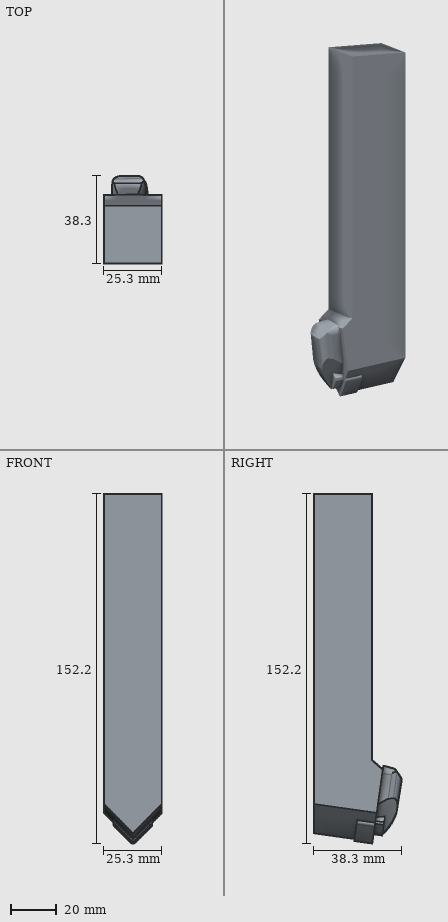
import cadquery as cq
import math

BAR_WIDTH = 25.29
TOTAL_HEIGHT = 152.23
HEAD_TILT = 8.0
HEAD_TIP_Y = 25.4
STEP_Z = 36.4
STEP_DROP = 4.1
NOSE_TIP = 0.9

INSERT_SIDE = 12.7
INSERT_THICKNESS = 7.94
INSERT_RADIUS = 1.2
ROUNDING_LOSS = INSERT_RADIUS * (math.sqrt(2) - 1)
INSERT_CENTRE = INSERT_SIDE / math.sqrt(2) - ROUNDING_LOSS

CLAMP_TURN = 5.0
CLAMP_HALF_WIDTH = 7.3
CLAMP_HEIGHT = 8.87
CLAMP_TOP_END = 25.6
END_CORNER_RADIUS = 3.7
END_FACE_TOP = (24.7, 5.1)
END_BEVEL_TOP = (22.3, 7.5)
CREST_END = (20.7, CLAMP_HEIGHT)
CREST_START = (6.8, 8.6)
NOSE_MIDDLE = (1.9, 7.2)
NOSE_START = (-3.5, 4.0)
WALL_HEIGHT = 4.0
SHOULDER = (6.9, 6.15)
CREST_HALF_WIDTH = 4.0

FLANK_START = 8.2
FLANK_ANGLE = 22.0
FLANK_LEAN = 0.75

FINGER_HALF_DIAGONAL = 7.1
FINGER_HALF_WIDTH = 6.5
FINGER_RISE = 0.9
FINGER_HEIGHT = 3.8
FINGER_TIP_RADIUS = 4.3

REACH = 60.0

tilt = math.radians(HEAD_TILT)
head = cq.Plane(
    origin=(0, HEAD_TIP_Y, 0),
    xDir=(1, 0, 0),
    normal=(0, -math.cos(tilt), math.sin(tilt)),
)
insert_frame = cq.Plane(head.toWorldCoords((0, INSERT_CENTRE, 0)), head.xDir, head.zDir)
clamp_frame = insert_frame.rotated((0, 0, CLAMP_TURN))


def corner_square(half_diagonal, rise=0):
    """Outline of a square standing on its corner, its centre this far above the insert centre."""
    corners = [(0, -half_diagonal), (half_diagonal, 0), (0, half_diagonal), (-half_diagonal, 0)]
    return cq.Workplane(insert_frame).center(0, rise).polyline(corners).close()


def make_insert():
    blank = corner_square(INSERT_SIDE / math.sqrt(2)).extrude(INSERT_THICKNESS)
    depth_edges = cq.selectors.ParallelDirSelector(head.zDir)
    return blank.edges(depth_edges).fillet(INSERT_RADIUS)


def make_bar():
    """Square bar with a leaning head face, cut to a right-angled nose."""
    step_bottom = STEP_Z - STEP_DROP
    below = -STEP_DROP

    def head_face_y(z):
        return HEAD_TIP_Y + z * math.tan(tilt)

    profile = [
        (0, below),
        (0, TOTAL_HEIGHT),
        (BAR_WIDTH, TOTAL_HEIGHT),
        (BAR_WIDTH, STEP_Z),
        (head_face_y(step_bottom), step_bottom),
        (head_face_y(below), below),
    ]
    bar = cq.Workplane("YZ").polyline(profile).close().extrude(BAR_WIDTH / 2, both=True)
    under_nose = [(0, NOSE_TIP), (REACH, NOSE_TIP + REACH), (REACH, -REACH),
                  (-REACH, -REACH), (-REACH, NOSE_TIP + REACH)]
    return bar.cut(cq.Workplane(head).polyline(under_nose).close().extrude(REACH, both=True))


def clamp_lengthwise():
    """Side profile of the clamp, spread across its width, with rounded upper corners."""
    def at(point):
        along, height = point
        return (along, -height)

    side = cq.Plane(clamp_frame.origin, clamp_frame.yDir, clamp_frame.xDir)
    block = (
        cq.Workplane(side)
        .moveTo(*at((NOSE_START[0], 0)))
        .lineTo(*at((CLAMP_TOP_END, 0)))
        .lineTo(*at(END_FACE_TOP))
        .lineTo(*at(END_BEVEL_TOP))
        .lineTo(*at(CREST_END))
        .lineTo(*at(CREST_START))
        .threePointArc(at(NOSE_MIDDLE), at(NOSE_START))
        .close()
        .extrude(CLAMP_HALF_WIDTH, both=True)
    )
    plan_length = CLAMP_TOP_END - NOSE_START[0]
    plan = (
        cq.Workplane(clamp_frame)
        .center(0, NOSE_START[0] + plan_length / 2)
        .rect(2 * CLAMP_HALF_WIDTH, plan_length)
        .extrude(-CLAMP_HEIGHT)
        .edges(cq.selectors.ParallelDirSelector(clamp_frame.zDir))
        .edges(cq.selectors.CenterNthSelector(clamp_frame.yDir, -1))
        .fillet(END_CORNER_RADIUS)
    )
    return block.intersect(plan)


def clamp_section():
    """Cross-section of the clamp: upright walls, leaning shoulders, rounded crest."""
    across = cq.Plane(clamp_frame.origin, clamp_frame.xDir, clamp_frame.yDir)
    return (
        cq.Workplane(across)
        .moveTo(0, 0)
        .lineTo(CLAMP_HALF_WIDTH, 0)
        .lineTo(CLAMP_HALF_WIDTH, WALL_HEIGHT)
        .lineTo(*SHOULDER)
        .tangentArcPoint((CREST_HALF_WIDTH, CLAMP_HEIGHT), relative=False)
        .lineTo(0, CLAMP_HEIGHT)
        .mirrorY()
        .extrude(REACH, both=True)
    )


def flank_cutter(side):
    """Everything outside the flat, leaning flank on one side (-1 or 1) of the clamp's lower end."""
    slope = math.tan(math.radians(FLANK_ANGLE))

    def triangle(height):
        start = FLANK_START + FLANK_LEAN * height
        inner = CLAMP_HALF_WIDTH - slope * REACH
        points = [(CLAMP_HALF_WIDTH, start), (inner, start - REACH), (CLAMP_HALF_WIDTH, start - REACH)]
        return cq.Wire.makePolygon(
            [clamp_frame.toWorldCoords((side * x, y, -height)) for x, y in points], close=True
        )

    return cq.Workplane(cq.Solid.makeLoft([triangle(0), triangle(CLAMP_HEIGHT)], True))


def make_finger():
    plate = corner_square(FINGER_HALF_DIAGONAL, FINGER_RISE).extrude(-FINGER_HEIGHT)
    lowest = cq.selectors.CenterNthSelector(head.yDir, 0)
    depth_edges = cq.selectors.ParallelDirSelector(head.zDir)
    plate = plate.edges(depth_edges).edges(lowest).fillet(FINGER_TIP_RADIUS)
    width_limit = cq.Workplane(insert_frame).rect(2 * FINGER_HALF_WIDTH, REACH).extrude(-FINGER_HEIGHT)
    return plate.intersect(width_limit)


def make_clamp():
    clamp = clamp_lengthwise().intersect(clamp_section())
    for side in (-1, 1):
        clamp = clamp.cut(flank_cutter(side))
    return clamp.union(make_finger())


insert = make_insert()
holder = make_bar().cut(insert).union(make_clamp())

result = cq.Compound.makeCompound([*holder.vals(), insert.val()])